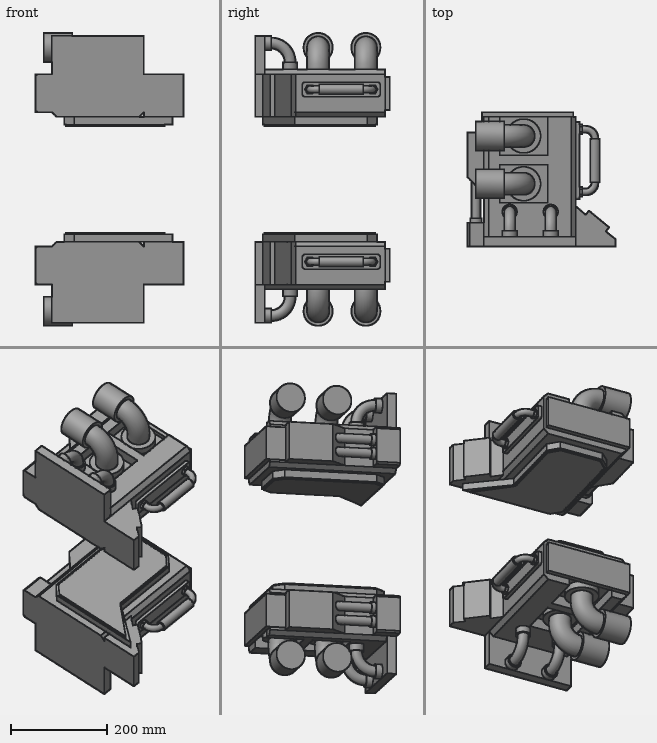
import cadquery as cq
import math


total_x = 308.0
total_y = 280.0
total_z = 610.0

housing_left = 34.0
housing_right = 226.0
housing_back = 270.0
housing_bottom = 130.0
housing_top = 229.0
housing_chamfer = 10.0
side_bottom = housing_bottom + housing_chamfer
side_top = housing_top - housing_chamfer
housing_middle_z = (housing_bottom + housing_top) / 2

front_plate_thickness = 20.0
front_plate_top = 299.0

band_left = 30.0
band_right = 220.0
band_bottom = 144.0
band_top = 213.5

front_block_depth = 50.0
front_block_chamfer = 4.0
rear_block_front = 110.5
rear_block_back = 238.0
rod_x = 17.5
rod_radius = 10.0
rod_spacing = 29.0
rod_collar_radius = 12.0
rod_collar_length = 9.0

wedge_back = 84.0
wedge_tip_y = 16.0
tooth_start_x = 246.0
tooth_start_y = 66.5
tooth_end_x = 288.0
tooth_end_y = 32.0
tooth_height = 11.0

pad_left = 60.0
pad_right = 200.0
pad_front = 15.0
pad_back = 254.0
pad_corner = 21.0
pad_tip_x = 285.5
pad_notch_y = 82.0
pad_thickness = 16.0
pad_step_inset = 3.5
pad_step_tip_x = 269.0
pad_step_notch_y = 83.0
pad_step_thickness = 3.0

pocket_left = 67.0
pocket_length = 99.5
pocket_width = 80.0
pocket_depth = 24.5
port_count = 2
port_pitch = 99.5
port_flange_radius = 35.5
port_flange_top = 219.5
port_pipe_radius = 23.0
port_pipe_bend = 41.0
port_nozzle_radius = 30.5
port_nozzle_start = 17.0
port_nozzle_length = 60.0
port_x = pocket_left + pocket_length / 2
port_axis_z = total_z / 2 - port_nozzle_radius

hose_xs = (88.0, 173.0)
hose_y = 72.5
hose_z = 283.5
hose_radius = 11.5
hose_bend = 39.5
hose_collar_radius = 15.0
hose_front_collar = 13.5
hose_base_collar = 14.5

handle_plate_front = 98.0
handle_plate_back = 260.0
handle_plate_thickness = 8.0
handle_plate_height = 30.5
handle_plate_corner = 5.5
handle_spacing = 130.5
handle_reach = 32.0
handle_rise = 8.0
handle_bar_radius = 7.5
handle_bend = 19.5
handle_nut_sides = 6
handle_nut_width = 21.0
handle_nut_length = 5.5
grip_radius = 10.5
grip_length = 91.0


def box(x0, x1, y0, y1, z0, z1):
    """Box between two values on each axis."""
    return cq.Workplane("XY").box(x1 - x0, y1 - y0, z1 - z0, centered=False).translate((x0, y0, z0))


def rod(start, direction, length, radius):
    """Round rod from a start point along an axis."""
    solid = cq.Solid.makeCylinder(radius, length, cq.Vector(*start), cq.Vector(*direction))
    return cq.Workplane(obj=solid)


def bent_pipe(start, corner, end, bend, radius):
    """Round pipe along two perpendicular legs, with an arc of radius `bend` at the corner."""
    first = cq.Vector(*start)
    middle = cq.Vector(*corner)
    last = cq.Vector(*end)
    along_first = (middle - first).normalized()
    along_last = (last - middle).normalized()
    arc_start = middle - along_first * bend
    arc_end = middle + along_last * bend
    arc_middle = middle + (along_last - along_first) * (bend * (1 - math.sqrt(0.5)))
    path = cq.Wire.assembleEdges([
        cq.Edge.makeLine(first, arc_start),
        cq.Edge.makeThreePointArc(arc_start, arc_middle, arc_end),
        cq.Edge.makeLine(arc_end, last),
    ])
    profile = cq.Workplane(cq.Plane(origin=start, normal=along_first.toTuple())).circle(radius)
    return profile.sweep(cq.Workplane(obj=path))


def make_housing():
    bar = box(housing_left, housing_right, 0, housing_back, housing_bottom, housing_top)
    bar = bar.edges("|Y").chamfer(housing_chamfer)
    front_plate = box(
        housing_left, housing_right, 0, front_plate_thickness, housing_middle_z, front_plate_top
    )
    band = box(band_left, band_right, rear_block_back, total_y, band_bottom, band_top)
    return bar.union(front_plate).union(band)


def make_side_blocks():
    front_block = box(0, housing_left, 0, front_block_depth, side_bottom, side_top)
    front_block = front_block.edges("|Y and <X").chamfer(front_block_chamfer)
    rear_block = (
        cq.Workplane("XY", origin=(0, 0, side_bottom))
        .moveTo(housing_left, rear_block_front)
        .lineTo(housing_left, rear_block_back)
        .lineTo(0, rear_block_back)
        .lineTo(0, rear_block_front + housing_left)
        .close()
        .extrude(side_top - side_bottom)
    )
    blocks = front_block.union(rear_block)
    rod_length = rear_block_front + housing_left - front_block_depth
    for side in (-1, 1):
        start = (rod_x, front_block_depth, housing_middle_z + side * rod_spacing / 2)
        blocks = blocks.union(rod(start, (0, 1, 0), rod_length, rod_radius))
        blocks = blocks.union(rod(start, (0, 1, 0), rod_collar_length, rod_collar_radius))
    return blocks


def make_wedge():
    slope = math.atan2(tooth_start_y - tooth_end_y, tooth_end_x - tooth_start_x)
    tooth_dx = tooth_height * math.sin(slope)
    tooth_dy = tooth_height * math.cos(slope)
    return (
        cq.Workplane("XY", origin=(0, 0, housing_bottom))
        .moveTo(housing_right, 0)
        .lineTo(housing_right, wedge_back)
        .lineTo(tooth_start_x, tooth_start_y)
        .lineTo(tooth_start_x + tooth_dx, tooth_start_y + tooth_dy)
        .lineTo(tooth_end_x + tooth_dx, tooth_end_y + tooth_dy)
        .lineTo(tooth_end_x, tooth_end_y)
        .lineTo(total_x, wedge_tip_y)
        .lineTo(total_x, 0)
        .close()
        .extrude(side_top - housing_bottom)
    )


def pad_layer(inset, tip_x, notch_y, top, thickness):
    """One layer of the pad, hanging down from `top` and inset from the pad's outline."""
    left = pad_left + inset
    right = pad_right - inset
    front = pad_front + inset
    back = pad_back - inset
    return (
        cq.Workplane("XY", origin=(0, 0, top))
        .moveTo(left + pad_corner, front)
        .lineTo(tip_x, front)
        .lineTo(right, notch_y)
        .lineTo(right, back - pad_corner)
        .lineTo(right - pad_corner, back)
        .lineTo(left + pad_corner, back)
        .lineTo(left, back - pad_corner)
        .lineTo(left, front + pad_corner)
        .close()
        .extrude(-thickness)
    )


def make_pad():
    base = pad_layer(0, pad_tip_x, pad_notch_y, housing_bottom, pad_thickness)
    step = pad_layer(
        pad_step_inset,
        pad_step_tip_x,
        pad_step_notch_y,
        housing_bottom - pad_thickness,
        pad_step_thickness,
    )
    return base.union(step)


def add_port(unit, pocket_back):
    """Sink one pocket into the housing top and put its flange, pipe and nozzle in place."""
    floor = housing_top - pocket_depth
    pocket_front = pocket_back - pocket_width
    port_y = (pocket_front + pocket_back) / 2
    nozzle_end = port_nozzle_start + port_nozzle_length
    pocket = box(
        pocket_left, pocket_left + pocket_length, pocket_front, pocket_back, floor, housing_top
    )
    flange = rod((port_x, port_y, floor), (0, 0, 1), port_flange_top - floor, port_flange_radius)
    pipe = bent_pipe(
        (port_x, port_y, floor),
        (port_x, port_y, port_axis_z),
        (port_nozzle_start, port_y, port_axis_z),
        port_pipe_bend,
        port_pipe_radius,
    )
    nozzle = rod((nozzle_end, port_y, port_axis_z), (-1, 0, 0), port_nozzle_length, port_nozzle_radius)
    return unit.cut(pocket).union(flange).union(pipe).union(nozzle)


def make_hose(x):
    base = (x, hose_y, housing_top)
    outlet = (x, front_plate_thickness, hose_z)
    hose = bent_pipe(base, (x, hose_y, hose_z), outlet, hose_bend, hose_radius)
    base_collar = rod(base, (0, 0, 1), hose_base_collar, hose_collar_radius)
    front_collar = rod(outlet, (0, 1, 0), hose_front_collar, hose_collar_radius)
    return hose.union(base_collar).union(front_collar)


def make_handle(handle_z):
    plate_face = housing_right + handle_plate_thickness
    grip_x = plate_face + handle_reach
    middle_y = (handle_plate_front + handle_plate_back) / 2
    handle = box(
        housing_right,
        plate_face,
        handle_plate_front,
        handle_plate_back,
        handle_z - handle_plate_height / 2,
        handle_z + handle_plate_height / 2,
    )
    handle = handle.edges("|X").fillet(handle_plate_corner)
    for side in (-1, 1):
        leg_y = middle_y + side * handle_spacing / 2
        foot = (plate_face, leg_y, handle_z)
        leg = bent_pipe(
            foot, (grip_x, leg_y, handle_z), (grip_x, middle_y, handle_z), handle_bend, handle_bar_radius
        )
        nut_outline = cq.Workplane("YZ", origin=foot).polygon(handle_nut_sides, handle_nut_width)
        nut = nut_outline.extrude(handle_nut_length)
        handle = handle.union(leg).union(nut)
    grip_start = (grip_x, middle_y - grip_length / 2, handle_z)
    return handle.union(rod(grip_start, (0, 1, 0), grip_length, grip_radius))


def make_unit(handle_z):
    """Unit above the plane Z = 0, with its handle at the given height."""
    unit = make_housing()
    for port in range(port_count):
        unit = add_port(unit, housing_back - port * port_pitch)
    unit = unit.union(make_side_blocks()).union(make_wedge()).union(make_pad()).union(make_handle(handle_z))
    for x in hose_xs:
        unit = unit.union(make_hose(x))
    return unit


upper_unit = make_unit(housing_middle_z + handle_rise)
lower_unit = make_unit(housing_middle_z - handle_rise).mirror("XY")

result = cq.Compound.makeCompound([upper_unit.val(), lower_unit.val()])